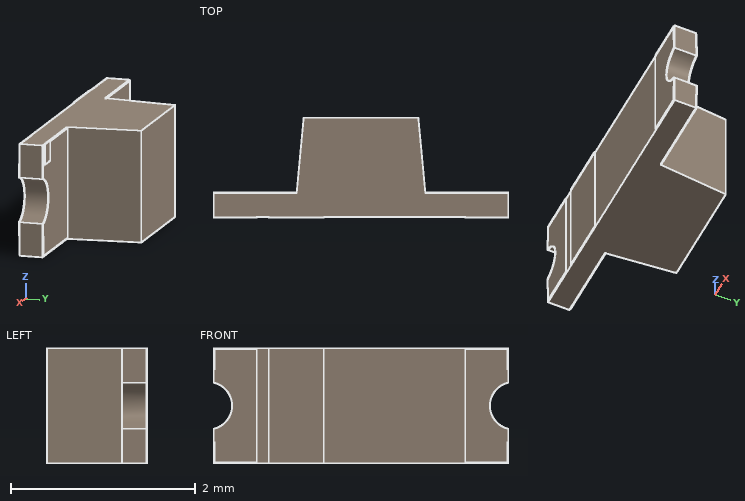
import cadquery as cq

board_length = 3.2
board_height = 1.25
board_thickness = 0.26
total_depth = 1.09

film_thickness = 0.01
pad_inset = 0.01
pad_inner_edge = 1.133
ear_half_height = 0.397

notch_radius = 0.255
notch_depth = 0.2

stripe_width = 0.6
stripe_left = -1.0

mark_left = 1.345
mark_width = 0.182
mark_height = board_height / 2 - ear_half_height

lens_depth = total_depth - film_thickness - board_thickness
lens_base_half = 0.7
lens_tip_half = 0.625

board_end = board_length / 2
back_face = board_thickness
notch_center = board_end - notch_depth + notch_radius


def block(x_start, x_end, y_start, thickness, height):
    """Box between two X positions, centered on Z."""
    return (
        cq.Workplane("XY")
        .box(x_end - x_start, thickness, height, centered=(False, False, True))
        .translate((x_start, y_start, 0))
    )


def notch_cutter(side):
    """Round bar along Y that cuts the notch at one end (side is -1 or +1)."""
    return (
        cq.Workplane("XZ", origin=(side * notch_center, total_depth, 0))
        .circle(notch_radius)
        .extrude(2 * total_depth)
    )


def make_board():
    """Board with the tapered lens molded in one piece with it."""
    board = block(-board_end, board_end, 0, board_thickness, board_height)
    for side in (-1, 1):
        board = board.cut(notch_cutter(side))
    return board.union(make_lens())


def make_pad(side, inner_edge, y_start):
    """Pad set in from the board's edges, with a wider ear around the notch."""
    pad_height = board_height - 2 * pad_inset
    pad = block(inner_edge, board_end - pad_inset, y_start, film_thickness, pad_height)
    ear = block(inner_edge, board_end, y_start, film_thickness, 2 * ear_half_height)
    pad = pad.union(ear).cut(notch_cutter(1))
    if side < 0:
        pad = pad.mirror("YZ")
    return pad


def make_stripe():
    return block(stripe_left, stripe_left + stripe_width, -film_thickness, film_thickness, board_height)


def make_mark():
    mark = block(mark_left, mark_left + mark_width, back_face, film_thickness, mark_height)
    return mark.translate((0, 0, ear_half_height + mark_height / 2))


def make_lens():
    lens_tip = back_face + lens_depth
    return (
        cq.Workplane("XY", origin=(0, 0, -board_height / 2))
        .polyline([
            (-lens_base_half, back_face),
            (lens_base_half, back_face),
            (lens_tip_half, lens_tip),
            (-lens_tip_half, lens_tip),
        ])
        .close()
        .extrude(board_height)
    )


board = make_board()
stripe = make_stripe()
mark = make_mark()
front_pads = [make_pad(side, pad_inner_edge, -film_thickness) for side in (-1, 1)]
back_pads = [make_pad(side, lens_base_half, back_face).cut(mark) for side in (-1, 1)]

result = cq.Compound.makeCompound([
    board.val(),
    stripe.val(),
    mark.val(),
    *[pad.solids().val() for pad in front_pads],
    *[pad.solids().val() for pad in back_pads],
])